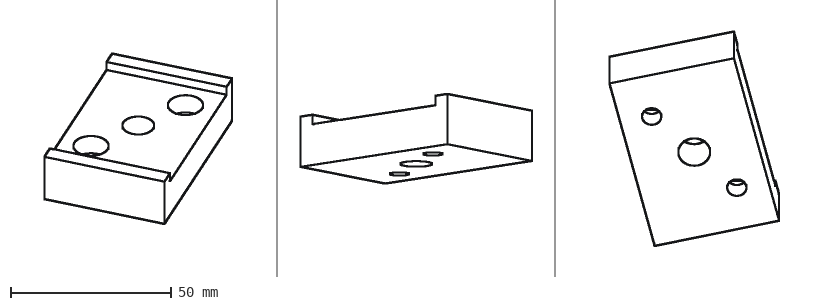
import cadquery as cq

width = 40.0
length = 61.25
height = 16.0

rail_width = 5.0
rail_height = 3.0
floor_height = height - rail_height

center_hole_diameter = 10.0

screw_hole_diameter = 6.0
counterbore_diameter = 11.0
counterbore_depth = 6.5
screw_offset_x = 9.9
screw_offset_y = 15.75


def make_block():
    """Block standing on Z = 0 with a channel between the end rails."""
    block = cq.Workplane("XY").box(width, length, height, centered=(True, True, False))
    channel = (
        cq.Workplane("XY")
        .workplane(offset=floor_height)
        .rect(width, length - 2 * rail_width)
        .extrude(rail_height)
    )
    return block.cut(channel)


def drill_holes(body):
    """Drill the central hole and both screw holes from the channel floor."""
    floor = cq.Workplane("XY", origin=(0, 0, floor_height))
    center_hole = floor.circle(center_hole_diameter / 2).extrude(-floor_height)
    screw_points = [(side * screw_offset_x, side * screw_offset_y) for side in (-1, 1)]
    screw_sites = floor.pushPoints(screw_points)
    screw_holes = screw_sites.circle(screw_hole_diameter / 2).extrude(-floor_height)
    counterbores = screw_sites.circle(counterbore_diameter / 2).extrude(-counterbore_depth)
    return body.cut(center_hole).cut(screw_holes).cut(counterbores)


result = drill_holes(make_block())